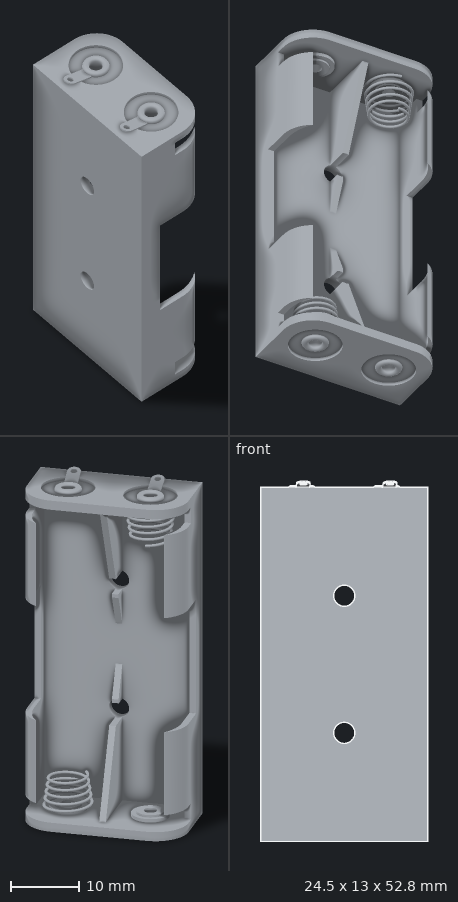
import cadquery as cq
import math

WIDTH = 24.5
DEPTH = 13.0
CORNER_RADIUS = 5.0
CAP_THICKNESS = 1.4
CELL_X = 6.25
CELL_Y = 6.95
SIDE_WALL = 1.0
FLOOR = 1.5
LIP_INNER_RADIUS = 6.85
LIP_DEPTH = 12.3
RIB_THICKNESS = 1.0
RIB_TOP_Y = 10.9
RIB_SLOPE = 0.44
WINDOW_HEIGHT = 2.6
WINDOW_Y = 6.45
OPENING_MARGIN = 17.0
OPENING_Y = 3.6
SCREW_HOLE_DIAMETER = 3.05
SCREW_HOLE_OFFSET = 10.05
RECESS_RADIUS = 4.0
RECESS_DEPTH = 0.55

BORE_RADIUS = 1.0
SHANK_RADIUS = 1.25
CROWN_RADIUS = 2.0
CROWN_HEIGHT = 0.55
FLANGE_RADIUS = 2.85
FLANGE_THICKNESS = 0.55
BOSS_RADIUS = 2.05
BOSS_HEIGHT = 0.3
HEAD_GAP = 0.2

LUG_THICKNESS = 0.2
LUG_WIDTH = 2.0
LUG_BEND_Y = 2.1
LUG_RISE = 17.0
LUG_REACH = 5.2
LUG_HOLE_DIAMETER = 1.0
LUG_TURNS = {-1: 2.8, 1: 5.4}

WIRE_DIAMETER = 0.4
SPRING_BASE_RADIUS = 3.65
SPRING_PITCH = 1.05
SPRING_TURNS = 5
SPRING_TAPER = 8.5

TOP_SPRING_START = 90.0
BOTTOM_SPRING_START = 216.0

OVERALL_HEIGHT = 52.8
RISE_ANGLE = math.radians(LUG_RISE)
TONGUE_LENGTH = (LUG_REACH - LUG_BEND_Y) / math.cos(RISE_ANGLE)
LUG_HEIGHT = (
    (TONGUE_LENGTH + LUG_WIDTH / 2) * math.sin(RISE_ANGLE) + LUG_THICKNESS * math.cos(RISE_ANGLE)
)
HEIGHT = OVERALL_HEIGHT - LUG_HEIGHT + RECESS_DEPTH
SIDES = (-1, 1)
HALF_WIDTH = WIDTH / 2
INNER_HEIGHT = HEIGHT - 2 * CAP_THICKNESS


def block(x_min, x_max, y_min, y_max, z_min, z_max):
    return cq.Workplane("XY").box(
        x_max - x_min, y_max - y_min, z_max - z_min, centered=False
    ).translate((x_min, y_min, z_min))


def cell_cavity():
    """Trough for the +X cell: flat floor and sides, outer wall curving in at the front."""
    rib_side = RIB_THICKNESS / 2
    wall_side = HALF_WIDTH - SIDE_WALL
    curve_y = DEPTH - CORNER_RADIUS
    rise = LIP_DEPTH - curve_y
    lip_x = wall_side - LIP_INNER_RADIUS + math.sqrt(LIP_INNER_RADIUS ** 2 - rise ** 2)
    return (
        cq.Workplane("XY")
        .workplane(offset=CAP_THICKNESS)
        .moveTo(rib_side, FLOOR)
        .lineTo(wall_side, FLOOR)
        .lineTo(wall_side, curve_y)
        .radiusArc((lip_x, LIP_DEPTH), -LIP_INNER_RADIUS)
        .lineTo(rib_side, LIP_DEPTH)
        .close()
        .extrude(INNER_HEIGHT)
    )


def rib_clearance():
    """Space in front of the divider, whose edge slopes down from both caps to the floor."""
    half_thickness = RIB_THICKNESS / 2
    slope_length = (RIB_TOP_Y - FLOOR) / RIB_SLOPE
    return (
        cq.Workplane("YZ")
        .workplane(offset=-half_thickness)
        .polyline([
            (LIP_DEPTH, CAP_THICKNESS),
            (RIB_TOP_Y, CAP_THICKNESS),
            (FLOOR, CAP_THICKNESS + slope_length),
            (FLOOR, HEIGHT - CAP_THICKNESS - slope_length),
            (RIB_TOP_Y, HEIGHT - CAP_THICKNESS),
            (LIP_DEPTH, HEIGHT - CAP_THICKNESS),
        ])
        .close()
        .extrude(RIB_THICKNESS)
    )


def side_windows():
    """Openings through the side walls beside each cap; the divider between them stays."""
    windows = cq.Workplane("XY")
    upper_z = HEIGHT - CAP_THICKNESS - WINDOW_HEIGHT
    for z_min in (CAP_THICKNESS, upper_z):
        for x_min in (-HALF_WIDTH, CELL_X):
            windows = windows.add(block(
                x_min, x_min + HALF_WIDTH - CELL_X, WINDOW_Y, DEPTH, z_min, z_min + WINDOW_HEIGHT
            ))
    return windows.combine()


def cap_holes():
    """Rivet holes through both caps, with a round recess on each outside face."""
    axes = [(side * CELL_X, CELL_Y) for side in SIDES]
    holes = cq.Workplane("XY").pushPoints(axes).circle(SHANK_RADIUS).extrude(HEIGHT)
    recess = cq.Workplane("XY").pushPoints(axes).circle(RECESS_RADIUS).extrude(RECESS_DEPTH)
    return holes.union(recess).union(recess.translate((0, 0, HEIGHT - RECESS_DEPTH)))


def screw_holes():
    heights = [HEIGHT / 2 + side * SCREW_HOLE_OFFSET for side in SIDES]
    return (
        cq.Workplane("XZ")
        .pushPoints([(0, z) for z in heights])
        .circle(SCREW_HOLE_DIAMETER / 2)
        .extrude(-DEPTH)
    )


def make_housing():
    body = block(-HALF_WIDTH, HALF_WIDTH, 0, DEPTH, 0, HEIGHT)
    body = body.edges("|Z and >Y").fillet(CORNER_RADIUS)
    cavity = cell_cavity()
    body = body.cut(cavity).cut(cavity.mirror("YZ")).cut(rib_clearance())
    body = body.cut(block(
        -HALF_WIDTH, HALF_WIDTH, LIP_DEPTH, DEPTH, CAP_THICKNESS, HEIGHT - CAP_THICKNESS
    ))
    body = body.cut(block(
        -HALF_WIDTH, HALF_WIDTH, OPENING_Y, DEPTH, OPENING_MARGIN, HEIGHT - OPENING_MARGIN
    ))
    return body.cut(side_windows()).cut(cap_holes()).cut(screw_holes())


def make_rivet(crown_seat):
    """Hollow rivet on the Z axis with its cap's outside face at Z = 0 and its head below.

    The rolled crown starts at Z = crown_seat.
    """
    flange_top = -CAP_THICKNESS - HEAD_GAP
    flange_bottom = flange_top - FLANGE_THICKNESS
    head_end = flange_bottom - BOSS_HEIGHT
    crown_middle = (BORE_RADIUS + CROWN_RADIUS) / 2
    return (
        cq.Workplane("XZ")
        .moveTo(BORE_RADIUS, head_end)
        .lineTo(BOSS_RADIUS, head_end)
        .lineTo(BOSS_RADIUS, flange_bottom)
        .lineTo(FLANGE_RADIUS, flange_bottom)
        .lineTo(FLANGE_RADIUS, flange_top)
        .lineTo(SHANK_RADIUS, flange_top)
        .lineTo(SHANK_RADIUS, crown_seat)
        .lineTo(CROWN_RADIUS, crown_seat)
        .threePointArc((crown_middle, crown_seat + CROWN_HEIGHT), (BORE_RADIUS, crown_seat))
        .close()
        .revolve(360, (0, 0, 0), (0, 1, 0))
    )


def make_lug():
    """Washer around the Z axis, resting on Z = 0, with a tongue rising towards -Y."""
    washer = cq.Workplane("XY").circle(CROWN_RADIUS).extrude(LUG_THICKNESS)
    tongue = (
        cq.Workplane("XY")
        .rect(LUG_WIDTH, TONGUE_LENGTH)
        .extrude(LUG_THICKNESS)
        .translate((0, -TONGUE_LENGTH / 2, 0))
    )
    tip = cq.Workplane("XY").center(0, -TONGUE_LENGTH)
    tongue = tongue.union(tip.circle(LUG_WIDTH / 2).extrude(LUG_THICKNESS))
    tongue = tongue.cut(tip.circle(LUG_HOLE_DIAMETER / 2).extrude(LUG_THICKNESS))
    tongue = tongue.rotate((0, 0, 0), (1, 0, 0), -LUG_RISE).translate((0, -LUG_BEND_Y, 0))
    base = cq.Workplane("XY").rect(LUG_WIDTH, LUG_BEND_Y).extrude(LUG_THICKNESS)
    base = base.translate((0, -LUG_BEND_Y / 2, 0))
    rivet_hole = cq.Workplane("XY").circle(SHANK_RADIUS).extrude(LUG_THICKNESS)
    return washer.union(base).union(tongue).cut(rivet_hole)


def make_spring(start_angle):
    """Conical coil around the Z axis with its wide end resting on Z = 0.

    The wire's wide end points along start_angle.
    """
    length = SPRING_PITCH * SPRING_TURNS
    tip_radius = SPRING_BASE_RADIUS - length * math.tan(math.radians(SPRING_TAPER))
    path = cq.Workplane(cq.Wire.makeHelix(SPRING_PITCH, length, tip_radius, angle=SPRING_TAPER))
    coil = (
        cq.Workplane("XZ")
        .center(tip_radius, 0)
        .circle(WIRE_DIAMETER / 2)
        .sweep(path, isFrenet=True)
    )
    coil = coil.rotate((0, 0, 0), (1, 0, 0), 180).translate((0, 0, length + WIRE_DIAMETER / 2))
    return coil.rotate((0, 0, 0), (0, 0, 1), start_angle)


def flip(body):
    return body.rotate((0, 0, 0), (0, 1, 0), 180)


housing = make_housing()

rivets = []
lugs = []
for side in SIDES:
    top_rivet = make_rivet(LUG_THICKNESS - RECESS_DEPTH)
    rivets.append(top_rivet.translate((side * CELL_X, CELL_Y, HEIGHT)))
    bottom_rivet = flip(make_rivet(-RECESS_DEPTH))
    rivets.append(bottom_rivet.translate((side * CELL_X, CELL_Y, 0)))
    lug = make_lug().rotate((0, 0, 0), (0, 0, 1), LUG_TURNS[side])
    lugs.append(lug.translate((side * CELL_X, CELL_Y, HEIGHT - RECESS_DEPTH)))

top_spring = flip(make_spring(TOP_SPRING_START)).translate((-CELL_X, CELL_Y, HEIGHT - CAP_THICKNESS))
bottom_spring = make_spring(BOTTOM_SPRING_START).translate((CELL_X, CELL_Y, CAP_THICKNESS))
springs = [top_spring, bottom_spring]

result = cq.Compound.makeCompound([
    housing.val(),
    *[rivet.val() for rivet in rivets],
    *[lug.val() for lug in lugs],
    *[spring.val() for spring in springs],
])